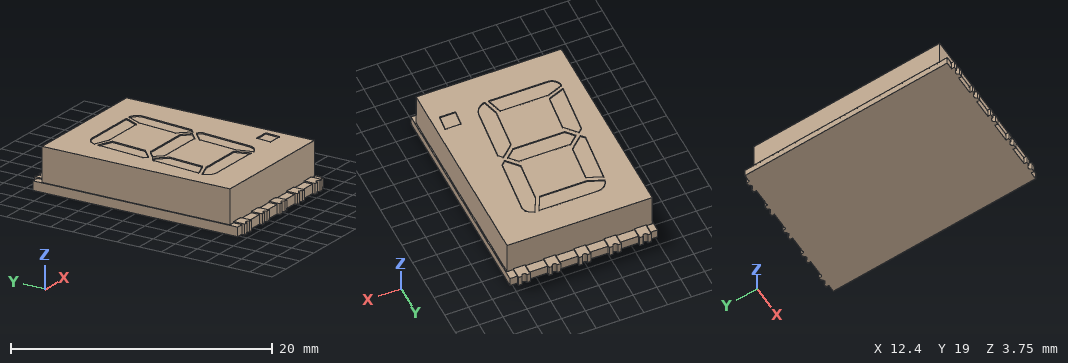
import cadquery as cq
import math

BOARD_WIDTH = 12.4
BOARD_LENGTH = 18.5
BOARD_THICKNESS = 0.8

HOUSING_WIDTH = 12.2
HOUSING_LENGTH = 17.0
TOTAL_HEIGHT = 3.75

PADS_PER_SIDE = 5
PAD_PITCH = 2.54
PAD_WIDTH = 1.0
PAD_SPAN = 19.0
PAD_HEIGHT = 0.9
PAD_NOTCH_RADIUS = 0.2

DIGIT_WIDTH = 7.0
DIGIT_HEIGHT = 12.0
DIGIT_CENTRE_X = -0.57
DIGIT_CENTRE_Y = 0.17
DIGIT_SLANT = 5.5
ACUTE_CORNER_RADIUS = 0.8
OBTUSE_CORNER_RADIUS = 1.1
STROKE = 1.33
MIDDLE_BAR_WIDTH = 1.38
SEGMENT_GAP = 0.34
LEFT_JOINT_DROP = 0.52
RIGHT_JOINT_RUN = 0.52
RECESS_DEPTH = 0.1

POINT_OFFSET = 5.78

SIGNS = (1, -1)
HALF_WIDTH = DIGIT_WIDTH / 2
HALF_HEIGHT = DIGIT_HEIGHT / 2
INNER_HALF_WIDTH = HALF_WIDTH - STROKE
INNER_HALF_HEIGHT = HALF_HEIGHT - STROKE


def slanted(u, v):
    """Place upright digit coordinates on the top face, leaning them along X."""
    y = DIGIT_CENTRE_Y + v
    return (DIGIT_CENTRE_X + u + y * math.tan(math.radians(DIGIT_SLANT)), y)


def recess(points):
    """Shallow prism just below the top face over a slanted polygon."""
    corners = [slanted(u, v) for u, v in points]
    floor = cq.Workplane("XY").workplane(offset=TOTAL_HEIGHT - RECESS_DEPTH)
    return floor.polyline(corners).close().extrude(RECESS_DEPTH)


def rectangle(left, right, bottom, top):
    return [(left, bottom), (right, bottom), (right, top), (left, top)]


def horizontal_bar(side):
    """Top (side = 1) or bottom (side = -1) bar."""
    left_end = INNER_HALF_HEIGHT + LEFT_JOINT_DROP
    right_end = INNER_HALF_WIDTH - SEGMENT_GAP
    outline = [
        (-HALF_WIDTH, left_end),
        (-INNER_HALF_WIDTH, INNER_HALF_HEIGHT),
        (right_end, INNER_HALF_HEIGHT),
        (right_end + RIGHT_JOINT_RUN, HALF_HEIGHT),
        (-HALF_WIDTH, HALF_HEIGHT),
    ]
    return recess([(u, side * v) for u, v in outline])


def waist_points():
    """Pointed waist end of an upright bar, from its outer edge to its inner edge, for u > 0."""
    tip_v = SEGMENT_GAP / 2
    diagonal = INNER_HALF_WIDTH + MIDDLE_BAR_WIDTH / 2 + SEGMENT_GAP * math.sqrt(2)
    tip_u = diagonal - tip_v
    return [
        (HALF_WIDTH, tip_v + HALF_WIDTH - tip_u),
        (tip_u, tip_v),
        (INNER_HALF_WIDTH, diagonal - INNER_HALF_WIDTH),
    ]


def left_bar(side):
    """Upper-left (side = 1) or lower-left (side = -1) bar."""
    inner_end = INNER_HALF_HEIGHT - SEGMENT_GAP
    outline = [(-u, v) for u, v in waist_points()]
    outline += [(-INNER_HALF_WIDTH, inner_end), (-HALF_WIDTH, inner_end + LEFT_JOINT_DROP)]
    return recess([(u, side * v) for u, v in outline])


def right_bar(side):
    """Upper-right (side = 1) or lower-right (side = -1) bar."""
    outline = waist_points()
    outline += [
        (INNER_HALF_WIDTH, INNER_HALF_HEIGHT),
        (INNER_HALF_WIDTH + RIGHT_JOINT_RUN, HALF_HEIGHT),
        (HALF_WIDTH, HALF_HEIGHT),
    ]
    return recess([(u, side * v) for u, v in outline])


def middle_bar():
    half_bar = MIDDLE_BAR_WIDTH / 2
    tip = INNER_HALF_WIDTH + half_bar
    return recess([
        (-tip, 0),
        (-INNER_HALF_WIDTH, -half_bar),
        (INNER_HALF_WIDTH, -half_bar),
        (tip, 0),
        (INNER_HALF_WIDTH, half_bar),
        (-INNER_HALF_WIDTH, half_bar),
    ])


def digit():
    """All seven segments, trimmed to the digit's rounded outer outline."""
    segments = middle_bar()
    for side in SIGNS:
        for segment in (horizontal_bar(side), left_bar(side), right_bar(side)):
            segments = segments.add(segment)
    outline = recess(rectangle(-HALF_WIDTH, HALF_WIDTH, -HALF_HEIGHT, HALF_HEIGHT))
    outline = outline.edges("|Z").edges(">(1,1,0) or <(1,1,0)").fillet(ACUTE_CORNER_RADIUS)
    outline = outline.edges("|Z").edges(">(1,-1,0) or <(1,-1,0)").fillet(OBTUSE_CORNER_RADIUS)
    return segments.combine().intersect(outline)


def decimal_point():
    left = POINT_OFFSET - STROKE / 2
    return recess(rectangle(left, left + STROKE, -HALF_HEIGHT, -INNER_HALF_HEIGHT))


def block(width, length, height):
    return cq.Workplane("XY").box(width, length, height, centered=(True, True, False))


def pads():
    """Pad strips running the full span, with a half-round notch in each end."""
    first_x = -PAD_PITCH * (PADS_PER_SIDE - 1) / 2
    columns = [first_x + index * PAD_PITCH for index in range(PADS_PER_SIDE)]
    strips = cq.Workplane("XY").pushPoints([(x, 0) for x in columns])
    strips = strips.rect(PAD_WIDTH, PAD_SPAN).extrude(PAD_HEIGHT)
    ends = [(x, side * PAD_SPAN / 2) for x in columns for side in SIGNS]
    notches = cq.Workplane("XY").pushPoints(ends).circle(PAD_NOTCH_RADIUS).extrude(PAD_HEIGHT)
    return strips.cut(notches)


board = block(BOARD_WIDTH, BOARD_LENGTH, BOARD_THICKNESS)
housing = block(HOUSING_WIDTH, HOUSING_LENGTH, TOTAL_HEIGHT)
result = board.union(housing).union(pads()).cut(digit()).cut(decimal_point())